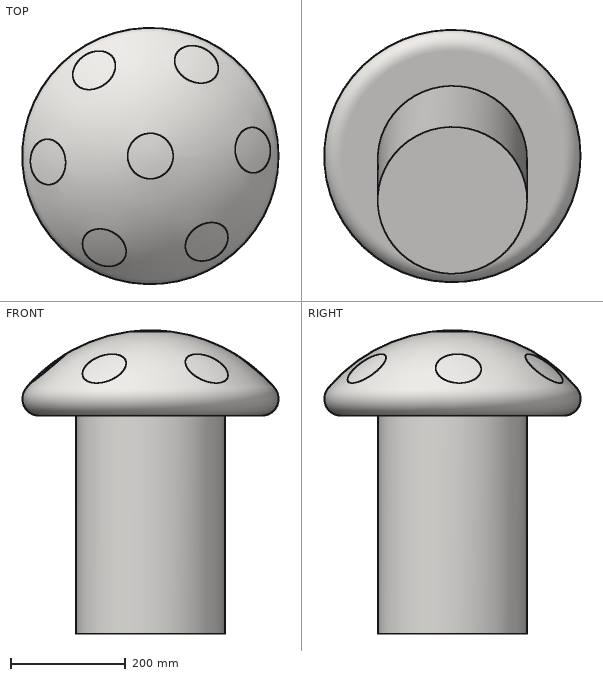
import cadquery as cq
import math

total_height = 531.0
cap_diameter = 448.5
cap_height = 150.0
rim_radius = 30.0
stem_radius = 130.5

spot_radius = 40.0
spot_depth = 10.5
ring_spot_count = 6
ring_start_angle = 3.3
ring_radius = 181.0

stem_height = total_height - cap_height
rim_center_radius = cap_diameter / 2 - rim_radius
rim_center_z = stem_height + rim_radius
crown_rise = total_height - rim_center_z
dome_radius = (rim_center_radius**2 + crown_rise**2 - rim_radius**2) / (2 * (crown_rise - rim_radius))
dome_center_z = total_height - dome_radius
rim_tilt = math.asin(rim_center_radius / (dome_radius - rim_radius))
ring_tilt = math.degrees(math.asin(ring_radius / dome_radius))


def dome_point(tilt):
    """Point (radius, height) on the dome at an angle from the vertical axis, in radians."""
    return (dome_radius * math.sin(tilt), dome_center_z + dome_radius * math.cos(tilt))


def make_stem():
    return cq.Workplane("XY").circle(stem_radius).extrude(stem_height)


def make_cap_blank():
    """Domed cap with a rounded rim and a flat underside, before the spots are cut."""
    middle_angle = -rim_tilt / 2
    rim_middle = (
        rim_center_radius + rim_radius * math.cos(middle_angle),
        rim_center_z + rim_radius * math.sin(middle_angle),
    )
    return (
        cq.Workplane("XZ")
        .moveTo(0, stem_height)
        .lineTo(rim_center_radius, stem_height)
        .threePointArc(rim_middle, dome_point(rim_tilt))
        .threePointArc(dome_point(rim_tilt / 2), (0, total_height))
        .close()
        .revolve(360, (0, 0, 0), (0, 1, 0))
    )


def make_spot(cap_blank, tilt, turn):
    """Round inlay square to the dome, flush with its surface and flat underneath."""
    cutter = (
        cq.Workplane("XY")
        .workplane(offset=total_height - spot_depth)
        .circle(spot_radius)
        .extrude(2 * spot_depth)
        .rotate((0, 0, dome_center_z), (0, 1, dome_center_z), tilt)
        .rotate((0, 0, 0), (0, 0, 1), turn)
    )
    return cap_blank.intersect(cutter)


stem = make_stem()
cap_blank = make_cap_blank()

spots = [make_spot(cap_blank, 0, 0)]
for index in range(ring_spot_count):
    turn = ring_start_angle + index * 360 / ring_spot_count
    spots.append(make_spot(cap_blank, ring_tilt, turn))

cap = cap_blank
for spot in spots:
    cap = cap.cut(spot)

result = cq.Compound.makeCompound(
    [stem.val(), cap.solids().val(), *[spot.solids().val() for spot in spots]]
)